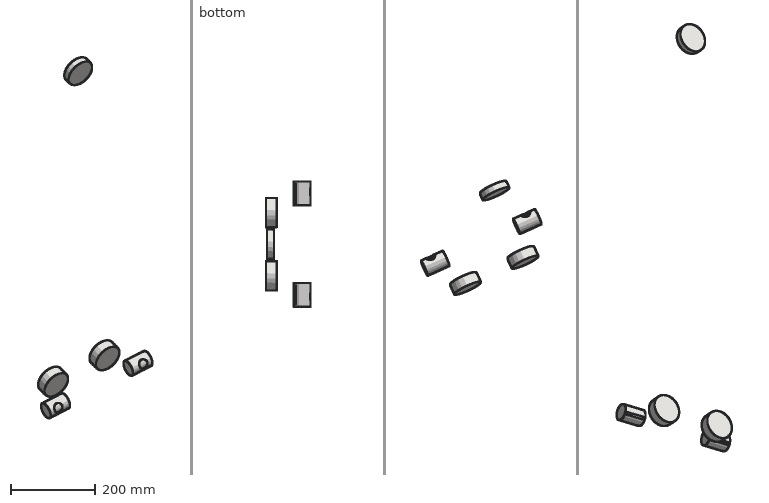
import cadquery as cq
import math

overall_depth = 106.0
overall_width = 298.0
overall_height = 1080.0

disc_diameter = 70.0
disc_chamfer_length = 3.0
disc_chamfer_depth = 0.5
lower_disc_thickness = 26.0
lower_disc_spacing = 150.0
upper_disc_thickness = 17.0
upper_disc_x = 2.0

pin_diameter = 40.0
pin_length = 57.0
pin_chamfer = 0.5
pin_underside_z = 22.0
pin_x = overall_depth - pin_diameter / 2
pin_z = pin_underside_z + pin_diameter / 2

recess_depth = 1.0
recess_tilt = 28.0
round_recess_diameter = 23.0
round_recess_from_end = 25.0
slot_height = 6.0
slot_from_end = 6.0
short_slot_length = 9.0
slot_gap = 3.8
long_slot_length = 32.0


def make_disc(thickness, x, y, z):
    """Disc with its flat face at x and a slim chamfer on its +X rim."""
    disc = cq.Workplane("YZ", origin=(x, y, z)).circle(disc_diameter / 2).extrude(thickness)
    return disc.faces(">X").chamfer(disc_chamfer_length, disc_chamfer_depth)


def pin_cylinder(side, radius):
    """Cylinder on the pin axis, running inwards from the outer end on the given side (+1 is +Y)."""
    end_plane = cq.Workplane("XZ", origin=(pin_x, side * overall_width / 2, pin_z))
    return end_plane.circle(radius).extrude(side * pin_length)


def radial_plane(side, distance_from_end, angle):
    """Workplane on the pin axis that faces outwards at the given angle, with its local x along Y."""
    y = side * (overall_width / 2 - distance_from_end)
    direction = (math.cos(math.radians(angle)), 0, math.sin(math.radians(angle)))
    return cq.Workplane(cq.Plane(origin=(pin_x, y, pin_z), xDir=(0, 1, 0), normal=direction))


def round_recess(side):
    """Cutter for the round recess on the +X side."""
    plane = radial_plane(side, round_recess_from_end, recess_tilt)
    return plane.circle(round_recess_diameter / 2).extrude(pin_diameter)


def slot_recess(side, start, length):
    """Cutter for a slot on the -X side, opposite the round recess."""
    plane = radial_plane(side, start + length / 2, recess_tilt + 180)
    return plane.rect(length, slot_height).extrude(pin_diameter)


def make_pin(side):
    """Chamfered pin with shallow recesses whose floors are concentric with its surface."""
    pin = pin_cylinder(side, pin_diameter / 2).edges().chamfer(pin_chamfer)
    core = pin_cylinder(side, pin_diameter / 2 - recess_depth)
    long_slot_start = slot_from_end + short_slot_length + slot_gap
    recesses = [
        round_recess(side),
        slot_recess(side, slot_from_end, short_slot_length),
        slot_recess(side, long_slot_start, long_slot_length),
    ]
    for recess in recesses:
        pin = pin.cut(recess.cut(core))
    return pin


lower_discs = [
    make_disc(lower_disc_thickness, 0, side * lower_disc_spacing / 2, disc_diameter / 2)
    for side in (-1, 1)
]
upper_disc = make_disc(upper_disc_thickness, upper_disc_x, 0, overall_height - disc_diameter / 2)
pins = [make_pin(side) for side in (-1, 1)]

result = cq.Compound.makeCompound([
    *[disc.val() for disc in lower_discs],
    upper_disc.val(),
    *[pin.solids().val() for pin in pins],
])